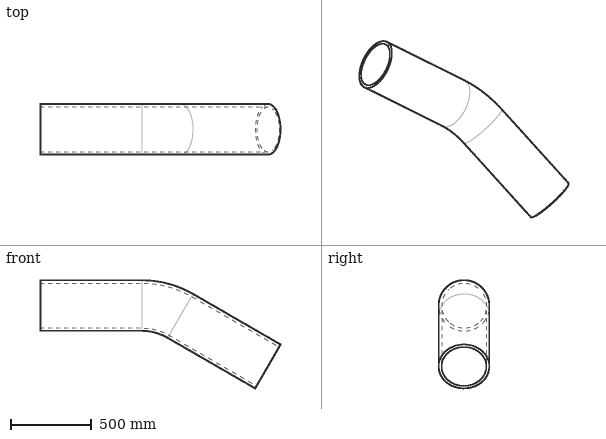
import cadquery as cq
import math

outer_diameter = 315.0
inner_diameter = 277.6

bend_angle = 30.0
bend_radius = 1.5 * outer_diameter
end_to_axis_crossing = 754.4
leg_length = end_to_axis_crossing - bend_radius * math.tan(math.radians(bend_angle / 2))


def straight_leg(start_plane):
    """Tube of one leg length, extruded along the normal of its start plane."""
    return (
        cq.Workplane(start_plane)
        .circle(outer_diameter / 2)
        .circle(inner_diameter / 2)
        .extrude(leg_length)
    )


def bend(start_plane):
    """Tube section revolved about the bend centre, below the start plane origin."""
    return (
        cq.Workplane(start_plane)
        .circle(outer_diameter / 2)
        .circle(inner_diameter / 2)
        .revolve(bend_angle, (-1, -bend_radius), (1, -bend_radius))
    )


inlet_plane = cq.Plane(origin=(0, 0, 0), xDir=(0, 1, 0), normal=(1, 0, 0))
bend_start_plane = cq.Plane(origin=(leg_length, 0, 0), xDir=(0, 1, 0), normal=(1, 0, 0))

turn_cos = math.cos(math.radians(bend_angle))
turn_sin = math.sin(math.radians(bend_angle))
bend_end_plane = cq.Plane(
    origin=(leg_length + bend_radius * turn_sin, 0, -bend_radius * (1 - turn_cos)),
    xDir=(0, 1, 0),
    normal=(turn_cos, 0, -turn_sin),
)

result = (
    straight_leg(inlet_plane)
    .union(bend(bend_start_plane))
    .union(straight_leg(bend_end_plane))
)